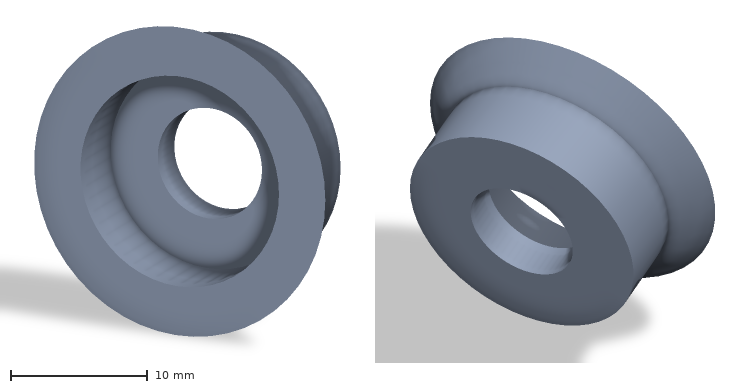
import cadquery as cq

body_diameter = 18.4
pocket_diameter = 16.0
bore_diameter = 8.41
total_length = 8.13
flare_length = 2.54
pocket_depth = 5.23

body_radius = body_diameter / 2
pocket_radius = pocket_diameter / 2
bore_radius = bore_diameter / 2
rim_radius = body_radius + flare_length


def flanged_bushing():
    """Revolve the wall section, drawn as (radius, Y), about the Y axis.

    The wide flared face lies at Y = 0 and the body extends toward +Y.
    """
    section = (
        cq.Workplane("XY")
        .moveTo(pocket_radius, 0)
        .lineTo(rim_radius, 0)
        .lineTo(body_radius, flare_length)
        .lineTo(body_radius, total_length)
        .lineTo(bore_radius, total_length)
        .lineTo(bore_radius, pocket_depth)
        .lineTo(pocket_radius, pocket_depth)
        .close()
    )
    return section.revolve(360, (0, 0, 0), (0, 1, 0))


result = flanged_bushing()